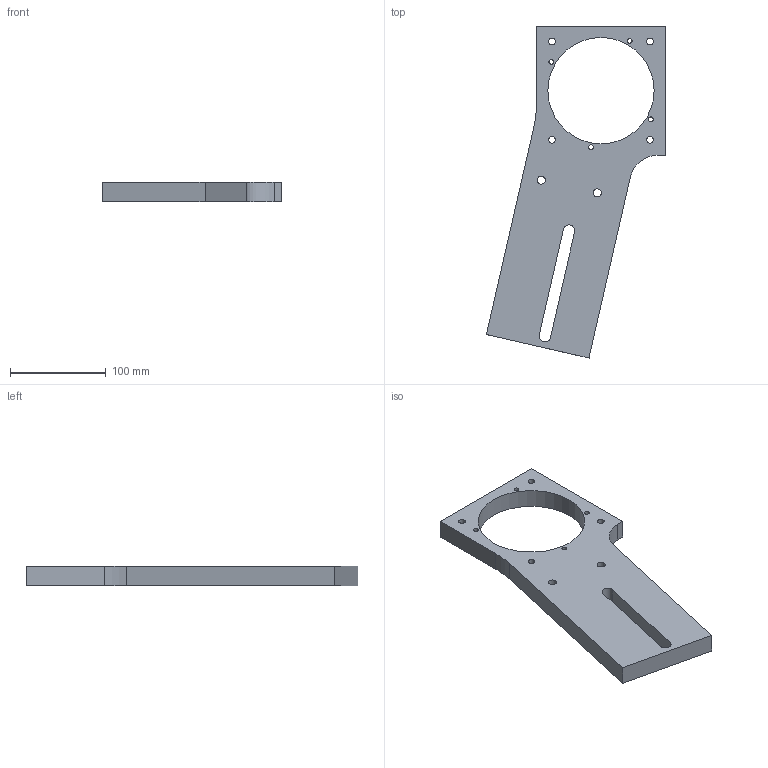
import cadquery as cq
import math

plate_side = 135.0
thickness = 20.0
bore_diameter = 111.0

corner_hole_diameter = 7.0
corner_hole_circle = 145.0
rim_hole_diameter = 5.0
rim_hole_circle = 120.0
rim_hole_angles = (-30.0, 60.0, 150.0, 260.0)

arm_angle = 12.87
arm_left = 60.0
arm_right = 50.0
arm_reach = 275.0
outer_bend_radius = 100.0
inner_corner_radius = 30.0

arm_hole_diameter = 8.5
arm_hole_spacing = 60.0
arm_hole_distance = 105.0
arm_hole_offset = -10.0
slot_width = 12.0
slot_start = 150.0
slot_end = 263.0

half_side = plate_side / 2
tilt = math.radians(arm_angle)


def arm_point(across, along):
    """Plate position of a point across (to the right of) and along (away from) the arm axis."""
    x = across * math.cos(tilt) - along * math.sin(tilt)
    y = -across * math.sin(tilt) - along * math.cos(tilt)
    return (x, y)


def along_at_x(across, x):
    """Distance along an arm edge at which it reaches the given X."""
    return (across * math.cos(tilt) - x) / math.sin(tilt)


def along_at_y(across, y):
    """Distance along an arm edge at which it reaches the given Y."""
    return (-across * math.sin(tilt) - y) / math.cos(tilt)


def make_body():
    outer_bend = arm_point(-arm_left, along_at_x(-arm_left, -half_side))
    inner_corner = arm_point(arm_right, along_at_y(arm_right, -half_side))
    outline = [
        (-half_side, half_side),
        (half_side, half_side),
        (half_side, -half_side),
        inner_corner,
        arm_point(arm_right, arm_reach),
        arm_point(-arm_left, arm_reach),
        outer_bend,
    ]
    body = cq.Workplane("XY").polyline(outline).close().extrude(thickness)
    body = round_vertical_edge(body, outer_bend, outer_bend_radius)
    return round_vertical_edge(body, inner_corner, inner_corner_radius)


def round_vertical_edge(body, corner, radius):
    edge_middle = (corner[0], corner[1], thickness / 2)
    return body.edges("|Z").edges(cq.selectors.NearestToPointSelector(edge_middle)).fillet(radius)


def hole_cutter(points, diameter):
    return cq.Workplane("XY").pushPoints(points).circle(diameter / 2).extrude(thickness)


def corner_holes():
    reach = corner_hole_circle / 2 / math.sqrt(2)
    points = [(sx * reach, sy * reach) for sx in (-1, 1) for sy in (-1, 1)]
    return hole_cutter(points, corner_hole_diameter)


def rim_holes():
    radius = rim_hole_circle / 2
    angles = [math.radians(angle) for angle in rim_hole_angles]
    points = [(radius * math.cos(angle), radius * math.sin(angle)) for angle in angles]
    return hole_cutter(points, rim_hole_diameter)


def arm_holes():
    points = [
        arm_point(arm_hole_offset + side * arm_hole_spacing / 2, arm_hole_distance)
        for side in (-1, 1)
    ]
    return hole_cutter(points, arm_hole_diameter)


def arm_slot():
    slot_centre = arm_point(0, (slot_start + slot_end) / 2)
    slot_length = slot_end - slot_start + slot_width
    slot_direction = 90 - arm_angle
    return (
        cq.Workplane("XY")
        .center(*slot_centre)
        .slot2D(slot_length, slot_width, slot_direction)
        .extrude(thickness)
    )


result = (
    make_body()
    .cut(hole_cutter([(0, 0)], bore_diameter))
    .cut(corner_holes())
    .cut(rim_holes())
    .cut(arm_holes())
    .cut(arm_slot())
)